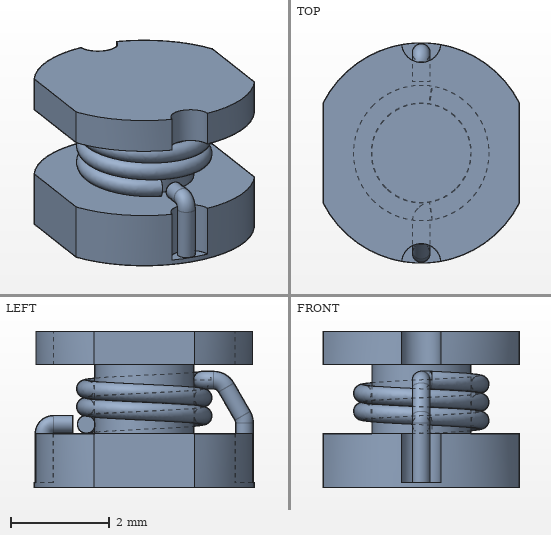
import cadquery as cq
import math

flange_diameter = 4.49
flange_width = 4.0
total_height = 3.18
base_height = 1.1
cap_height = 0.675
post_diameter = 2.02

notch_radius = 0.4
notch_floor = 0.1

wire_diameter = 0.365
wire_radius = wire_diameter / 2
coil_radius = 1.2
coil_pitch = 0.37
coil_clearance = 0.005
coil_bottom = base_height + coil_clearance + wire_radius

lead_offset = 2.045
exit_bend_radius = 0.23
front_bend_radius = 0.3
front_lean = math.radians(60)
back_bend_radius = 0.198
back_lead_end = 1.455

exit_angle = math.asin(exit_bend_radius / (coil_radius + exit_bend_radius))
half_turn = 180 - 2 * math.degrees(exit_angle)
coil_turns = 2 + half_turn / 360
coil_height = coil_turns * coil_pitch
coil_top = coil_bottom + coil_height
exit_y = -(coil_radius + exit_bend_radius) * math.cos(exit_angle)


def flange(bottom, height):
    """Round plate with two flats facing -X and +X."""
    disc = cq.Workplane("XY").workplane(offset=bottom).circle(flange_diameter / 2).extrude(height)
    flats = cq.Workplane("XY").workplane(offset=bottom).rect(flange_width, flange_diameter).extrude(height)
    return disc.intersect(flats)


def drum_core():
    cap_bottom = total_height - cap_height
    post = cq.Workplane("XY").circle(post_diameter / 2).extrude(total_height)
    core = flange(0, base_height).union(flange(cap_bottom, cap_height)).union(post)
    notches = (
        cq.Workplane("XY")
        .workplane(offset=notch_floor)
        .pushPoints([(0, -flange_diameter / 2), (0, flange_diameter / 2)])
        .circle(notch_radius)
        .extrude(total_height)
    )
    return core.cut(notches)


def sweep_wire(path, start, direction):
    """Round wire along a path that leaves the start point in the given direction."""
    section = cq.Workplane(cq.Plane(origin=start, normal=direction)).circle(wire_radius)
    return section.sweep(path, isFrenet=True)


def coil():
    helix = cq.Wire.makeHelix(coil_pitch, coil_height, coil_radius, lefthand=True)
    rise_per_radian = coil_pitch / (2 * math.pi)
    turns = sweep_wire(cq.Workplane(helix), (coil_radius, 0, 0), (0, -coil_radius, rise_per_radian))
    start_angle = 90 - math.degrees(exit_angle)
    return turns.rotate((0, 0, 0), (0, 0, 1), start_angle).translate((0, 0, coil_bottom))


def exit_bend():
    """Level bend from the top of the coil towards the front."""
    centre_x = exit_bend_radius

    def on_bend(angle):
        x = centre_x - exit_bend_radius * math.cos(angle)
        y = exit_y + exit_bend_radius * math.sin(angle)
        return (x, y)

    sweep_angle = math.pi / 2 - exit_angle
    start = on_bend(sweep_angle)
    path = (
        cq.Workplane("XY", origin=(0, 0, coil_top))
        .moveTo(*start)
        .threePointArc(on_bend(sweep_angle / 2), on_bend(0))
    )
    direction = (-math.cos(exit_angle), -math.sin(exit_angle), 0)
    return sweep_wire(path, (*start, coil_top), direction)


def front_lead():
    """Lead that slopes down from the exit bend and drops into the front notch."""
    radius = front_bend_radius

    def on_upper_bend(angle):
        return (exit_y - radius * math.sin(angle), coil_top - radius * (1 - math.cos(angle)))

    upper_end = on_upper_bend(front_lean)
    lower_start_y = -lead_offset + radius * (1 - math.sin(front_lean))
    slope_run = upper_end[0] - lower_start_y
    lower_start_z = upper_end[1] - slope_run * math.tan(front_lean)
    lower_centre_z = lower_start_z - radius * math.cos(front_lean)

    def on_lower_bend(angle):
        return (-lead_offset + radius * (1 - math.sin(angle)), lower_centre_z + radius * math.cos(angle))

    middle_angle = (front_lean + math.pi / 2) / 2
    path = (
        cq.Workplane("YZ")
        .moveTo(exit_y, coil_top)
        .threePointArc(on_upper_bend(front_lean / 2), upper_end)
        .lineTo(lower_start_y, lower_start_z)
        .threePointArc(on_lower_bend(middle_angle), on_lower_bend(math.pi / 2))
        .lineTo(-lead_offset, notch_floor)
    )
    return sweep_wire(path, (0, exit_y, coil_top), (0, -1, 0))


def back_lead():
    """Short level stub that bends down into the back notch."""
    bend_start_y = lead_offset - back_bend_radius
    path = (
        cq.Workplane("YZ")
        .moveTo(back_lead_end, coil_bottom)
        .lineTo(bend_start_y, coil_bottom)
        .radiusArc((lead_offset, coil_bottom - back_bend_radius), back_bend_radius)
        .lineTo(lead_offset, notch_floor)
    )
    return sweep_wire(path, (0, back_lead_end, coil_bottom), (0, 1, 0))


result = drum_core()
for winding_part in (coil(), exit_bend(), front_lead(), back_lead()):
    result = result.union(winding_part)